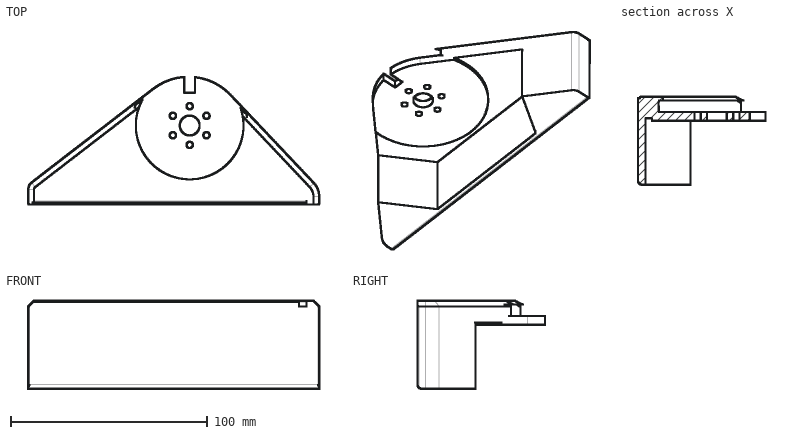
import cadquery as cq
import math

total_height = 45.0
left_x = -82.4
right_x = left_x + 148.55
front_y = -40.36

left_slope_angle = 37.6
left_slope_distance = 26.2
right_slope_angle = 46.6
right_slope_distance = 25.9
left_corner_radius = 4.5
right_corner_radius = 10.0
front_corner_radius = 0.8
bottom_front_radius = 2.2
top_chamfer = 3.0

nose_radius = 29.35

floor_z = 37.2
pocket_radius = 27.5
undercut_radius = 29.6
undercut_top_z = 42.9

center_hole_diameter = 10.0
bolt_hole_diameter = 3.1
bolt_circle_radius = 9.9
bolt_count = 6
slot_width = 5.4
slot_bottom_y = 16.8

cavity_top_z = 33.9
boss_bottom_z = 32.6
boss_radius = 33.3
left_cavity_end_y = -13.4
right_cavity_end_y = -10.6
cavity_wall_angle = 33.0
front_wall_thickness = 4.0

groove_end_x = 59.5
groove_depth = 1.8
groove_step_depth = 1.0
groove_height = 0.8
notch_length = 3.6
notch_height = 3.0

clearance = 100.0


def left_slope_x(y):
    """X of the left slope at the given Y."""
    angle = math.radians(left_slope_angle)
    return (y * math.cos(angle) - left_slope_distance) / math.sin(angle)


def left_slope_y(x):
    """Y of the left slope at the given X."""
    angle = math.radians(left_slope_angle)
    return (left_slope_distance + x * math.sin(angle)) / math.cos(angle)


def right_slope_x(y):
    """X of the right slope at the given Y."""
    angle = math.radians(right_slope_angle)
    return (right_slope_distance - y * math.cos(angle)) / math.sin(angle)


def right_slope_y(x):
    """Y of the right slope at the given X."""
    angle = math.radians(right_slope_angle)
    return (right_slope_distance - x * math.sin(angle)) / math.cos(angle)


def slope_apex():
    """Point where the two slopes would meet."""
    left = math.radians(left_slope_angle)
    right = math.radians(right_slope_angle)
    x = (
        right_slope_distance * math.cos(left) - left_slope_distance * math.cos(right)
    ) / math.sin(left + right)
    return x, left_slope_y(x)


def disc(radius, bottom_z, top_z):
    """Round solid about the hub axis."""
    return cq.Workplane("XY").workplane(offset=bottom_z).circle(radius).extrude(top_z - bottom_z)


def block(x_range, y_range, z_range):
    """Box spanning the given ranges."""
    size = [high - low for low, high in (x_range, y_range, z_range)]
    corner = (x_range[0], y_range[0], z_range[0])
    return cq.Workplane("XY").box(*size, centered=False).translate(corner)


def vertical_edge_at(body, x, y):
    """Vertical edge of the body nearest to the given place."""
    return body.edges("|Z").edges(cq.selectors.NearestToPointSelector((x, y, total_height / 2)))


def make_body():
    """Solid prism with rounded corners and a chamfer round the top, except along the front."""
    left_corner_y = left_slope_y(left_x)
    right_corner_y = right_slope_y(right_x)
    apex_x, apex_y = slope_apex()
    body = (
        cq.Workplane("XY")
        .moveTo(left_x, front_y)
        .lineTo(right_x, front_y)
        .lineTo(right_x, right_corner_y)
        .lineTo(apex_x, apex_y)
        .lineTo(left_x, left_corner_y)
        .close()
        .extrude(total_height)
    )
    body = vertical_edge_at(body, left_x, left_corner_y).fillet(left_corner_radius)
    body = vertical_edge_at(body, right_x, right_corner_y).fillet(right_corner_radius)
    body = vertical_edge_at(body, apex_x, apex_y).fillet(nose_radius)
    body = body.faces(">Z").edges("not(<Y)").chamfer(top_chamfer)
    for x in (left_x, right_x):
        body = vertical_edge_at(body, x, front_y).fillet(front_corner_radius)
    return body.cut(make_bottom_rounding())


def make_bottom_rounding():
    """Material outside the straight rounding along the bottom front edge."""
    radius = bottom_front_radius
    arc_middle = radius * (1 - math.sqrt(0.5))
    return (
        cq.Workplane("YZ")
        .workplane(offset=left_x)
        .moveTo(front_y, 0)
        .lineTo(front_y + radius, 0)
        .threePointArc((front_y + arc_middle, arc_middle), (front_y, radius))
        .close()
        .extrude(right_x - left_x)
    )


def make_pocket():
    """Round pocket with its undercut, open all the way behind the nose."""
    lip = disc(pocket_radius, floor_z, total_height)
    undercut = disc(undercut_radius, floor_z, undercut_top_z)
    return lip.union(undercut)


def make_hub_openings():
    """Centre hole, ring of bolt holes and the slot at the back of the hub."""
    openings = disc(center_hole_diameter / 2, 0, total_height)
    bolts = (
        cq.Workplane("XY")
        .polarArray(bolt_circle_radius, 90, 360, bolt_count)
        .circle(bolt_hole_diameter / 2)
        .extrude(total_height)
    )
    slot = block((-slot_width / 2, slot_width / 2), (slot_bottom_y, clearance), (0, total_height))
    return openings.union(bolts).union(slot)


def make_cavity():
    """Space below the hub; its two end walls lean toward each other at the front."""
    wall_y = front_y + front_wall_thickness
    lean = math.tan(math.radians(cavity_wall_angle))

    def left_wall_x(y):
        return left_slope_x(left_cavity_end_y) - (y - left_cavity_end_y) * lean

    def right_wall_x(y):
        return right_slope_x(right_cavity_end_y) + (y - right_cavity_end_y) * lean

    space = (
        cq.Workplane("XY")
        .polyline([
            (left_wall_x(wall_y), wall_y),
            (right_wall_x(wall_y), wall_y),
            (right_wall_x(clearance), clearance),
            (left_wall_x(clearance), clearance),
        ])
        .close()
        .extrude(cavity_top_z)
    )
    return space.cut(disc(boss_radius, boss_bottom_z, cavity_top_z))


def make_front_groove():
    """Rounded step along the top front edge, with a deeper notch at its right end."""
    step_z = total_height - groove_height
    back_y = front_y + groove_depth
    step_y = front_y + groove_step_depth
    rounding = groove_depth - groove_step_depth
    diagonal = rounding * math.sqrt(0.5)
    profile = (
        cq.Workplane("YZ")
        .workplane(offset=left_x)
        .moveTo(front_y, step_z)
        .lineTo(step_y, step_z)
        .threePointArc((back_y - diagonal, step_z + diagonal), (back_y, total_height))
        .lineTo(front_y, total_height)
        .close()
        .extrude(groove_end_x - left_x)
    )
    notch = block(
        (groove_end_x - notch_length, groove_end_x),
        (front_y, step_y),
        (total_height - notch_height, total_height),
    )
    return profile.union(notch)


result = make_body()
for opening in (make_pocket(), make_hub_openings(), make_cavity(), make_front_groove()):
    result = result.cut(opening)